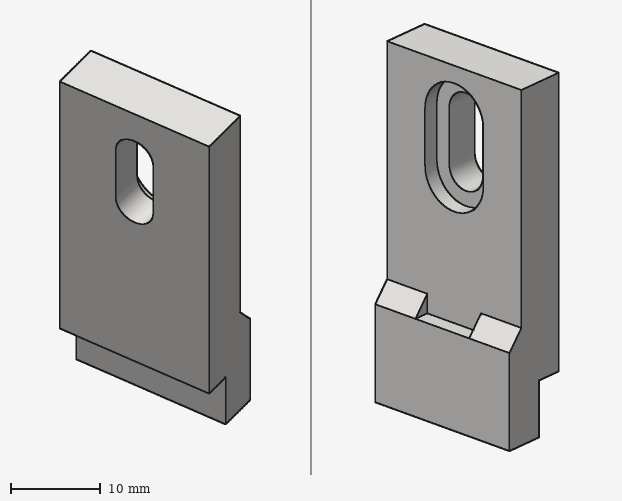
import cadquery as cq

width = 20.0
thickness = 8.3
height = 43.5

foot_thickness = 5.0
foot_height = 6.95
step_depth = thickness - foot_thickness

lip_depth = 2.0
lip_height = 12.0
slope_height = 2.4
plate_back = thickness - lip_depth

notch_width = 8.0

slot_width = 5.0
slot_length = 12.0
slot_top_margin = 4.0
slot_spacing = slot_length - slot_width
slot_center_z = height - slot_top_margin - slot_length / 2

recess_width = 8.7
recess_depth = 2.0


def make_body():
    """Side profile in Y and Z, extruded evenly to both sides of X = 0."""
    profile = [
        (step_depth, 0),
        (thickness, 0),
        (thickness, lip_height),
        (plate_back, lip_height + slope_height),
        (plate_back, height),
        (0, height),
        (0, foot_height),
        (step_depth, foot_height),
    ]
    return cq.Workplane("YZ").polyline(profile).close().extrude(width / 2, both=True)


def make_notch():
    """Cutter that levels the middle of the slope down to its lower edge."""
    return (
        cq.Workplane("XY")
        .box(notch_width, lip_depth, slope_height, centered=(True, False, False))
        .translate((0, plate_back, lip_height))
    )


def make_upright_slot(slot_across, front_y):
    """Round-ended cutter from front_y to the back of the plate, with shared end centers."""
    return (
        cq.Workplane("XZ", origin=(0, front_y, slot_center_z))
        .slot2D(slot_spacing + slot_across, slot_across, 90)
        .extrude(front_y - plate_back)
    )


slot = make_upright_slot(slot_width, 0)
recess = make_upright_slot(recess_width, plate_back - recess_depth)
result = make_body().cut(make_notch()).cut(slot).cut(recess)